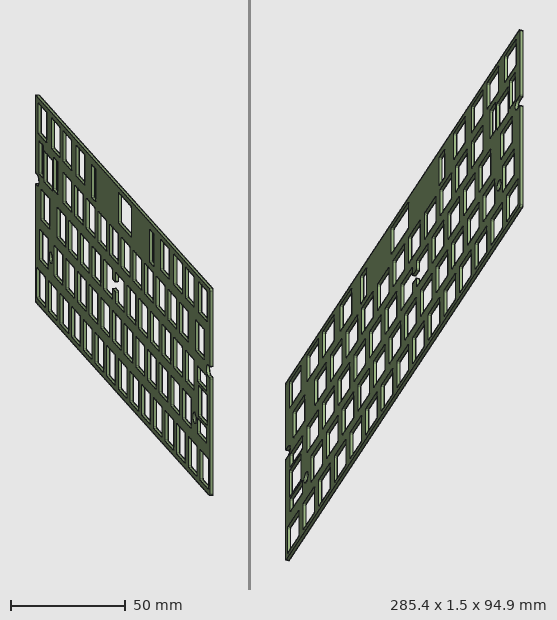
import cadquery as cq

PLATE_LENGTH = 285.37
PLATE_THICKNESS = 1.5
PLATE_HEIGHT = 94.93
PLATE_CORNER_RADIUS = 1.0

KEY_UNIT = 19.05
SWITCH_SIZE = 14.0
CORNER_RADIUS = 0.5
SPACE_ROW, SHIFT_ROW, HOME_ROW, TAB_ROW, NUMBER_ROW = 2, 1, 0, -1, -2

SWITCH_RUNS = [
    (SPACE_ROW, -6.875, 1),
    (SPACE_ROW, -5.75, 2),
    (SPACE_ROW, -3.625, 1),
    (SPACE_ROW, 3.625, 1),
    (SPACE_ROW, 4.75, 2),
    (SPACE_ROW, 6.875, 1),
    (SHIFT_ROW, -6.375, 1),
    (SHIFT_ROW, -4.75, 11),
    (SHIFT_ROW, 6.625, 1),
    (HOME_ROW, -6.625, 1),
    (HOME_ROW, -5.25, 12),
    (TAB_ROW, -6.75, 1),
    (TAB_ROW, -5.5, 12),
    (NUMBER_ROW, -7.0, 15),
]

SPACE_SWITCH_SHIFT = 0.375 * KEY_UNIT
SPACE_STABILIZER_OFFSET = 2.5 * KEY_UNIT

SHIFT_KEY_COLUMN = -6.375
ENTER_KEY_COLUMN = 6.875
ENTER_KEY_ROW = -0.5
STABILIZER_OFFSET = 11.938
STABILIZER_WIDTH = 7.0
STABILIZER_LENGTH = 15.0
STABILIZER_SHIFT = 1.5

BRIDGE_COLUMN = -0.75
BRIDGE_HEIGHT = 4.3
BRIDGE_RISE = 0.2

SCREW_DIAMETER = 5.0
SCREW_COLUMNS = (-117.3, 117.55)
SCREW_Z = -19.4
NOTCH_Z = 9.2
NOTCH_DEPTH = 5.8
NOTCH_WIDTH = SCREW_DIAMETER


def window(x, z, length, height, radius=CORNER_RADIUS):
    """Cutter with rounded corners, passing through the plate, centred on (x, z)."""
    blank = cq.Workplane("XY").box(length, 2 * PLATE_THICKNESS, height)
    if radius:
        blank = blank.edges("|Y").fillet(radius)
    return blank.translate((x, 0, z))


def switch_windows():
    """One square window per switch, apart from the space bar."""
    windows = []
    for row, first_column, count in SWITCH_RUNS:
        for index in range(count):
            x = (first_column + index) * KEY_UNIT
            windows.append(window(x, row * KEY_UNIT, SWITCH_SIZE, SWITCH_SIZE))
    enter_x = ENTER_KEY_COLUMN * KEY_UNIT
    enter_z = ENTER_KEY_ROW * KEY_UNIT
    windows.append(window(enter_x, enter_z, SWITCH_SIZE, SWITCH_SIZE))
    return windows


def space_bar_windows():
    """A widened switch window and a stabilizer window near each end of the space bar."""
    z = SPACE_ROW * KEY_UNIT
    windows = [window(SPACE_SWITCH_SHIFT / 2, z, SWITCH_SIZE + SPACE_SWITCH_SHIFT, SWITCH_SIZE)]
    for side in (-1, 1):
        x = side * SPACE_STABILIZER_OFFSET
        stabilizer_z = z - STABILIZER_SHIFT
        windows.append(window(x, stabilizer_z, STABILIZER_WIDTH, STABILIZER_LENGTH))
    return windows


def stabilizer_windows():
    """Stabilizer windows either side of the shift and enter switches."""
    windows = []
    shift_x = SHIFT_KEY_COLUMN * KEY_UNIT
    shift_z = SHIFT_ROW * KEY_UNIT + STABILIZER_SHIFT
    enter_x = ENTER_KEY_COLUMN * KEY_UNIT - STABILIZER_SHIFT
    enter_z = ENTER_KEY_ROW * KEY_UNIT
    for side in (-1, 1):
        offset = side * STABILIZER_OFFSET
        windows.append(window(shift_x + offset, shift_z, STABILIZER_WIDTH, STABILIZER_LENGTH))
        windows.append(window(enter_x, enter_z + offset, STABILIZER_LENGTH, STABILIZER_WIDTH))
    return windows


def round_hole(x, z, diameter):
    hole = cq.Workplane("XZ").circle(diameter / 2).extrude(PLATE_THICKNESS, both=True)
    return hole.translate((x, 0, z))


def screw_holes():
    return [round_hole(x, SCREW_Z, SCREW_DIAMETER) for x in SCREW_COLUMNS]


def side_notches():
    """Slots open to both short sides, each ending in a half circle."""
    cutters = []
    end_center = PLATE_LENGTH / 2 - NOTCH_DEPTH + NOTCH_WIDTH / 2
    for side in (-1, 1):
        cutters.append(round_hole(side * end_center, NOTCH_Z, NOTCH_WIDTH))
        slot_x = side * (end_center + NOTCH_DEPTH / 2)
        cutters.append(window(slot_x, NOTCH_Z, NOTCH_DEPTH, NOTCH_WIDTH, 0))
    return cutters


def round_mouth(body, x, z, height):
    """Round the two edges, above and below z, where a slot of this height opens at x."""
    for edge_z in (z - height / 2, z + height / 2):
        edge = cq.selectors.NearestToPointSelector((x, 0, edge_z))
        body = body.edges("|Y").edges(edge).fillet(CORNER_RADIUS)
    return body


def plate_outline():
    """Plate with side notches; its corners and the notch mouths are rounded."""
    plate = cq.Workplane("XY").box(PLATE_LENGTH, PLATE_THICKNESS, PLATE_HEIGHT)
    plate = plate.edges("|Y").fillet(PLATE_CORNER_RADIUS)
    for notch in side_notches():
        plate = plate.cut(notch)
    for x in (-PLATE_LENGTH / 2, PLATE_LENGTH / 2):
        plate = round_mouth(plate, x, NOTCH_Z, NOTCH_WIDTH)
    return plate


def cut_bridge(body):
    """Open a slot through the web between two switch windows and round its mouths."""
    x = BRIDGE_COLUMN * KEY_UNIT
    z = HOME_ROW * KEY_UNIT + BRIDGE_RISE
    web_width = KEY_UNIT - SWITCH_SIZE
    body = body.cut(window(x, z, web_width + SWITCH_SIZE / 2, BRIDGE_HEIGHT, 0))
    for mouth_x in (x - web_width / 2, x + web_width / 2):
        body = round_mouth(body, mouth_x, z, BRIDGE_HEIGHT)
    return body


windows = switch_windows() + space_bar_windows() + stabilizer_windows() + screw_holes()
all_windows = cq.Compound.makeCompound([cutter.val() for cutter in windows])
result = cut_bridge(plate_outline().cut(cq.Workplane(all_windows)))